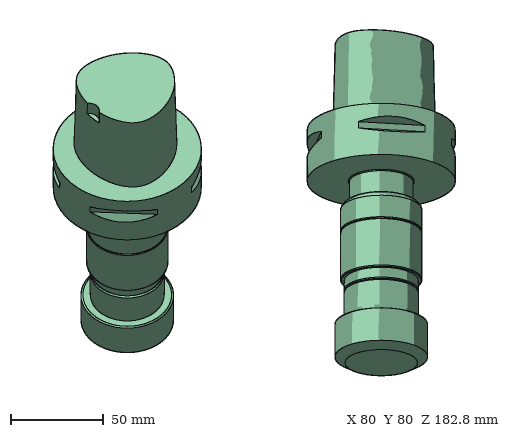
import cadquery as cq
import math

TOTAL_HEIGHT = 182.8
NUT_CHAMFER_TOP = 3.3
NUT_TOP = 22.5
COLLAR_TAPER_TOP = 25.8
COLLAR_GROOVE_BOTTOM = 40.4
COLLAR_GROOVE_TOP = 41.3
SLEEVE_BOTTOM = 47.5
SLEEVE_GROOVE_Z = 75.0
SHOULDER_BOTTOM = 88.5
NECK_BOTTOM = 92.1
FLANGE_BOTTOM = 105.1
FLANGE_TOP = 134.7

NUT_RADIUS = 50.0 / 2
NUT_NOSE_RADIUS = 19.5
COLLAR_RADIUS = 40.4 / 2
COLLAR_GROOVE_RADIUS = 34.0 / 2
COLLAR_FOOT_RADIUS = 39.9 / 2
UPPER_COLLAR_RADIUS = 40.0 / 2
SLEEVE_RADIUS = 44.0 / 2
SHOULDER_RADIUS = 18.1
NECK_RADIUS = 34.5 / 2
FLANGE_RADIUS = 80.0 / 2

EDGE_BREAK = 0.5
NUT_RIM_WIDTH = 1.1
NUT_RIM_DROP = 0.4
SLEEVE_GROOVE_WIDTH = 1.1
SLEEVE_GROOVE_DEPTH = 0.4
SHOULDER_BULGE = 0.45

SHANK_BASE_RADIUS = 27.8
SHANK_TAPER = 1 / 40
SHANK_LOBE = 1.6
SHANK_HEIGHT = TOTAL_HEIGHT - FLANGE_TOP
SHANK_CURVE_POINTS = 48

NOTCH_DEPTH = 7.9
NOTCH_RADIUS = 5.8
NOTCH_FLOOR_Y = -22.3

SLOT_COUNT = 4
SLOT_FIRST_ANGLE = 45
SLOT_CENTER_Z = 123.0
SLOT_FLOOR_DISTANCE = 35.6
SLOT_FLOOR_HEIGHT = 3.7
SLOT_MOUTH_HEIGHT = 8.8
SLOT_LENGTH = 2 * FLANGE_RADIUS


def turned_body():
    """Nut, collar, sleeve, neck and flange as one revolved half profile."""
    groove_mid = SLEEVE_GROOVE_Z + SLEEVE_GROOVE_WIDTH / 2
    shoulder_mid_radius = (SLEEVE_RADIUS + SHOULDER_RADIUS) / 2 + SHOULDER_BULGE
    shoulder_mid_z = (SHOULDER_BOTTOM + NECK_BOTTOM) / 2 + SHOULDER_BULGE
    profile = (
        cq.Workplane("XZ")
        .moveTo(0, 0)
        .lineTo(NUT_NOSE_RADIUS, 0)
        .lineTo(NUT_RADIUS, NUT_CHAMFER_TOP)
        .lineTo(NUT_RADIUS, NUT_TOP - NUT_RIM_DROP)
        .lineTo(NUT_RADIUS - NUT_RIM_WIDTH, NUT_TOP)
        .lineTo(COLLAR_FOOT_RADIUS, NUT_TOP)
        .lineTo(COLLAR_RADIUS, COLLAR_TAPER_TOP)
        .lineTo(COLLAR_RADIUS, COLLAR_GROOVE_BOTTOM)
        .lineTo(COLLAR_GROOVE_RADIUS, COLLAR_GROOVE_BOTTOM)
        .lineTo(COLLAR_GROOVE_RADIUS, COLLAR_GROOVE_TOP)
        .lineTo(UPPER_COLLAR_RADIUS - EDGE_BREAK, COLLAR_GROOVE_TOP)
        .lineTo(UPPER_COLLAR_RADIUS, COLLAR_GROOVE_TOP + EDGE_BREAK)
        .lineTo(UPPER_COLLAR_RADIUS, SLEEVE_BOTTOM)
        .lineTo(SLEEVE_RADIUS - EDGE_BREAK, SLEEVE_BOTTOM)
        .lineTo(SLEEVE_RADIUS, SLEEVE_BOTTOM + EDGE_BREAK)
        .lineTo(SLEEVE_RADIUS, SLEEVE_GROOVE_Z)
        .lineTo(SLEEVE_RADIUS - SLEEVE_GROOVE_DEPTH, groove_mid)
        .lineTo(SLEEVE_RADIUS, SLEEVE_GROOVE_Z + SLEEVE_GROOVE_WIDTH)
        .lineTo(SLEEVE_RADIUS, SHOULDER_BOTTOM)
        .threePointArc((shoulder_mid_radius, shoulder_mid_z), (SHOULDER_RADIUS, NECK_BOTTOM))
        .lineTo(NECK_RADIUS, NECK_BOTTOM)
        .lineTo(NECK_RADIUS, FLANGE_BOTTOM - EDGE_BREAK)
        .lineTo(NECK_RADIUS + EDGE_BREAK, FLANGE_BOTTOM)
        .lineTo(FLANGE_RADIUS, FLANGE_BOTTOM)
        .lineTo(FLANGE_RADIUS, FLANGE_TOP)
        .lineTo(0, FLANGE_TOP)
        .close()
    )
    return profile.revolve(360, (0, 0, 0), (0, 1, 0))


def shank_point(mean_radius, turn):
    """Point of a constant-width three-lobed curve with one lobe toward +Y."""
    angle = math.pi / 2 + 2 * math.pi * turn
    support = mean_radius - SHANK_LOBE * math.sin(3 * angle)
    slope = -3 * SHANK_LOBE * math.cos(3 * angle)
    x = support * math.cos(angle) - slope * math.sin(angle)
    y = support * math.sin(angle) + slope * math.cos(angle)
    return (x, y)


def shank_points(mean_radius):
    return [shank_point(mean_radius, i / SHANK_CURVE_POINTS) for i in range(SHANK_CURVE_POINTS)]


def polygon_shank():
    """Three-lobed shank narrowing upward from the flange."""
    top_radius = SHANK_BASE_RADIUS - SHANK_HEIGHT * SHANK_TAPER
    return (
        cq.Workplane("XY", origin=(0, 0, FLANGE_TOP))
        .spline(shank_points(SHANK_BASE_RADIUS), periodic=True)
        .close()
        .workplane(offset=SHANK_HEIGHT)
        .spline(shank_points(top_radius), periodic=True)
        .close()
        .loft(ruled=True)
    )


def key_notch():
    """Round-bottomed notch open to the shank's top and its -Y side."""
    return (
        cq.Workplane("XY", origin=(0, NOTCH_FLOOR_Y - NOTCH_RADIUS, TOTAL_HEIGHT))
        .circle(NOTCH_RADIUS)
        .extrude(-NOTCH_DEPTH)
    )


def gripper_slot(angle):
    """Straight trapezoidal slot across the flange rim at the given angle."""
    depth = FLANGE_RADIUS - SLOT_FLOOR_DISTANCE
    half_floor = SLOT_FLOOR_HEIGHT / 2
    half_mouth = SLOT_MOUTH_HEIGHT / 2
    return (
        cq.Workplane("XZ", origin=(SLOT_FLOOR_DISTANCE, 0, SLOT_CENTER_Z))
        .polyline([(0, -half_floor), (depth, -half_mouth), (depth, half_mouth), (0, half_floor)])
        .close()
        .extrude(SLOT_LENGTH / 2, both=True)
        .rotate((0, 0, 0), (0, 0, 1), angle)
    )


result = turned_body().union(polygon_shank()).cut(key_notch())
for slot_index in range(SLOT_COUNT):
    result = result.cut(gripper_slot(SLOT_FIRST_ANGLE + slot_index * 360 / SLOT_COUNT))